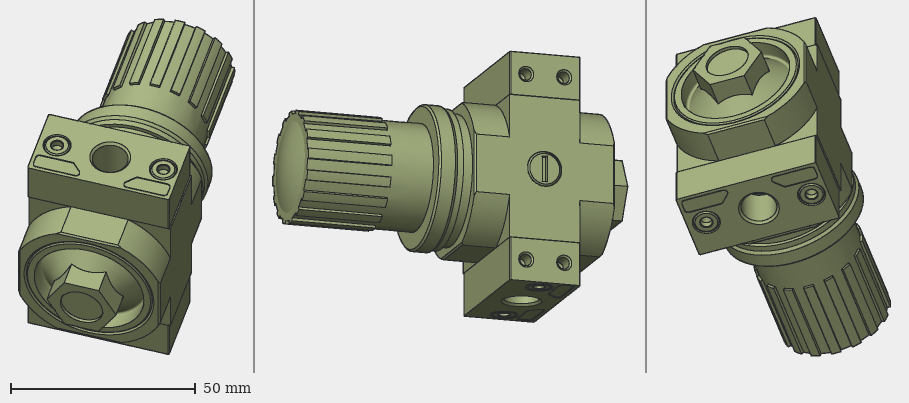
import cadquery as cq
import math


housing_width = 40.0
housing_lobe_diameter = 43.1
housing_end_chamfer = 0.5
block_depth = 20.0
port_bore_diameter = 8.8
half_width = housing_width / 2

neck_diameter = 36.4
neck_end_y = 22.9
flange_diameter = 38.7
flange_end_y = 24.6
collar_diameter = 40.0
collar_end_y = 30.0
collar_lower_chamfer_length = 0.9
collar_upper_chamfer = 0.6

knob_base_diameter = 29.6
knob_end_diameter = 29.3
knob_end_y = 65.8
knob_dome_diameter = 24.9
knob_dome_tip_y = 67.9
knob_rib_count = 16
knob_rib_diameter = 31.0
knob_rib_width = 2.8
knob_rib_start_y = 42.1

cap_diameter = 35.5
cap_rim_chamfer = 0.4
cap_depth = 7.6
cap_mouth_chamfer = 0.6
cap_cavity_diameter = 31.0
cap_groove_radius = 0.6
cap_cone_radius_at_rim = 9.9
hex_across_flats = 16.9
hex_end_y = -27.1
hex_recess_diameter = 12.0
hex_recess_depth = 0.95

plates_height = 64.0
plate_offset_x = -0.4
plate_edge_chamfer = 0.3
plate_port_diameter = 9.7
plate_port_mouth_diameter = 11.0
plate_top_z = plates_height / 2
plate_thickness = plate_top_z - half_width

side_hole_diameter = 3.2
side_hole_mouth_diameter = 4.3
side_hole_depth = 5.7
side_hole_y = 5.4

label_edge_inset = 1.0
label_inner_top_x = 8.9
label_inner_bottom_x = 4.9
label_top_y = -4.7
label_bottom_y = -8.9
label_corner_radius = 1.0
label_depth = 0.3

screw_x = 15.0
screw_head_diameter = 6.9
screw_head_height = 4.0
screw_head_chamfer = 0.4
screw_shank_diameter = 4.0
screw_thread_depth = 5.7
screw_socket_diameter = 3.2
screw_socket_mouth_diameter = 3.6
screw_socket_depth = 1.9
counterbore_diameter = 7.0
counterbore_mouth_chamfer = 0.3
clearance_hole_diameter = 4.3

plug_diameter = 9.7
plug_face_diameter = 8.55
plug_length = 5.7
slot_width = 1.4
slot_length = 7.1
slot_depth = 1.4

drill_tip_slope = math.tan(math.radians(30))
overcut = 0.95


def turned_about_y(outline):
    """Solid of revolution about Y from a list of (radius, y) points."""
    return cq.Workplane("XY").polyline(outline).close().revolve(360, (0, 0), (0, 1))


def drilled_hole(diameter, mouth_diameter, depth):
    """Cutter along -Z from the origin: 45 degree mouth, straight hole and conical tip."""
    radius = diameter / 2
    mouth_radius = mouth_diameter / 2
    outline = [
        (0, 0),
        (mouth_radius, 0),
        (radius, radius - mouth_radius),
        (radius, -depth),
        (0, -depth - radius * drill_tip_slope),
    ]
    return cq.Workplane("XZ").polyline(outline).close().revolve(360, (0, 0), (0, 1))


def make_collar():
    return turned_about_y([
        (0, half_width),
        (neck_diameter / 2, half_width),
        (neck_diameter / 2, neck_end_y),
        (flange_diameter / 2, neck_end_y),
        (flange_diameter / 2, flange_end_y),
        (collar_diameter / 2, flange_end_y + collar_lower_chamfer_length),
        (collar_diameter / 2, collar_end_y - collar_upper_chamfer),
        (collar_diameter / 2 - collar_upper_chamfer, collar_end_y),
        (0, collar_end_y),
    ])


def make_cap_bore():
    radius = cap_diameter / 2
    return turned_about_y([
        (0, -half_width),
        (radius + cap_mouth_chamfer, -half_width),
        (radius, -half_width + cap_mouth_chamfer),
        (radius, -half_width + cap_depth),
        (0, -half_width + cap_depth),
    ])


def make_housing():
    lobes = cq.Workplane("XY").box(housing_width, housing_width, housing_width)
    lobes = lobes.faces("<Y or >Y").chamfer(housing_end_chamfer)
    cylinder = (
        cq.Workplane("XZ").circle(housing_lobe_diameter / 2).extrude(half_width, both=True)
    )
    block = cq.Workplane("XY").box(housing_width, block_depth, housing_width)
    housing = lobes.intersect(cylinder).union(block).union(make_collar()).cut(make_cap_bore())

    port_bore = cq.Workplane("XY").circle(port_bore_diameter / 2).extrude(half_width, both=True)
    housing = housing.cut(port_bore).cut(make_plug_body())

    thread_end_z = half_width - screw_thread_depth
    for side in (1, -1):
        thread_holes = (
            cq.Workplane("XY", origin=(0, 0, side * thread_end_z))
            .pushPoints([(-screw_x, 0), (screw_x, 0)])
            .circle(screw_shank_diameter / 2)
            .extrude(side * (screw_thread_depth + overcut))
        )
        housing = housing.cut(thread_holes)
    return housing


def make_knob():
    knob = (
        cq.Workplane("XY")
        .moveTo(0, collar_end_y)
        .lineTo(knob_base_diameter / 2, collar_end_y)
        .lineTo(knob_end_diameter / 2, knob_end_y)
        .lineTo(knob_dome_diameter / 2, knob_end_y)
    )
    dome_height = knob_dome_tip_y - knob_end_y
    dome_radius = ((knob_dome_diameter / 2) ** 2 + dome_height**2) / (2 * dome_height)
    dome_mid_x = knob_dome_diameter / 4
    dome_mid_y = knob_dome_tip_y - dome_radius + math.sqrt(dome_radius**2 - dome_mid_x**2)
    knob = (
        knob.threePointArc((dome_mid_x, dome_mid_y), (0, knob_dome_tip_y))
        .close()
        .revolve(360, (0, 0), (0, 1))
    )

    rib_length = knob_end_y - knob_rib_start_y
    envelope = (
        cq.Workplane("XZ", origin=(0, knob_end_y, 0))
        .circle(knob_rib_diameter / 2)
        .extrude(rib_length)
    )
    rib_root_radius = knob_dome_diameter / 2
    rib_blank = cq.Workplane("XY").box(
        knob_rib_width, rib_length, knob_rib_diameter, centered=(True, False, False)
    )
    rib = rib_blank.translate((0, knob_rib_start_y, rib_root_radius)).intersect(envelope)
    for index in range(knob_rib_count):
        knob = knob.union(rib.rotate((0, 0, 0), (0, 1, 0), index * 360 / knob_rib_count))
    return knob


def make_cap():
    outer_radius = cap_diameter / 2
    cavity_radius = cap_cavity_diameter / 2
    diagonal = cap_groove_radius / math.sqrt(2)
    groove_x = cavity_radius - cap_groove_radius
    cone_foot_x = groove_x - diagonal
    cone_foot_y = -half_width - cap_cone_radius_at_rim + cone_foot_x
    groove_y = cone_foot_y - diagonal
    cone_end_radius = hex_recess_diameter / 2
    cone_end_y = -half_width - cap_cone_radius_at_rim + cone_end_radius
    groove_mid_angle = math.radians(135 / 2)
    groove_mid = (
        groove_x + cap_groove_radius * math.cos(groove_mid_angle),
        groove_y + cap_groove_radius * math.sin(groove_mid_angle),
    )
    body = (
        cq.Workplane("XY")
        .moveTo(0, -half_width + cap_depth)
        .lineTo(outer_radius, -half_width + cap_depth)
        .lineTo(outer_radius, -half_width + cap_rim_chamfer)
        .lineTo(outer_radius - cap_rim_chamfer, -half_width)
        .lineTo(cavity_radius, -half_width)
        .lineTo(cavity_radius, groove_y)
        .threePointArc(groove_mid, (cone_foot_x, cone_foot_y))
        .lineTo(cone_end_radius, cone_end_y)
        .lineTo(0, cone_end_y)
        .close()
        .revolve(360, (0, 0), (0, 1))
    )
    hex_corner_diameter = hex_across_flats / math.cos(math.radians(30))
    hexagon = (
        cq.Workplane("XZ", origin=(0, -half_width + cap_depth, 0))
        .polygon(6, hex_corner_diameter)
        .extrude(-half_width + cap_depth - hex_end_y)
    )
    recess = (
        cq.Workplane("XZ", origin=(0, hex_end_y + hex_recess_depth, 0))
        .circle(hex_recess_diameter / 2)
        .extrude(hex_recess_depth)
    )
    return body.union(hexagon).cut(recess)


def make_label_field(side):
    """Cutter for the label field at the -X (side -1) or +X (side 1) end of the upper plate."""
    outer_x = plate_offset_x + side * (half_width - label_edge_inset)
    return (
        cq.Workplane("XY", origin=(0, 0, plate_top_z))
        .polyline([
            (outer_x, label_top_y),
            (side * label_inner_top_x, label_top_y),
            (side * label_inner_bottom_x, label_bottom_y),
            (outer_x, label_bottom_y),
        ])
        .close()
        .extrude(-label_depth)
        .edges("|Z")
        .fillet(label_corner_radius)
    )


def make_upper_plate():
    plate = (
        cq.Workplane("XY", origin=(plate_offset_x, 0, half_width))
        .rect(housing_width, block_depth)
        .extrude(plate_thickness)
        .edges("|Z")
        .chamfer(plate_edge_chamfer)
    )
    port = drilled_hole(plate_port_diameter, plate_port_mouth_diameter, plate_thickness)
    plate = plate.cut(port.translate((0, 0, plate_top_z)))

    mouth_diameter = counterbore_diameter + 2 * counterbore_mouth_chamfer
    counterbore_mouth = cq.Workplane("XY").add(
        cq.Solid.makeCone(
            counterbore_diameter / 2,
            mouth_diameter / 2,
            counterbore_mouth_chamfer,
            cq.Vector(0, 0, plate_top_z - counterbore_mouth_chamfer),
        )
    )
    screw_hole = (
        cq.Workplane("XY", origin=(0, 0, plate_top_z))
        .circle(counterbore_diameter / 2)
        .extrude(-screw_head_height)
        .faces("<Z")
        .workplane()
        .circle(clearance_hole_diameter / 2)
        .extrude(plate_thickness)
        .union(counterbore_mouth)
    )
    for x in (-screw_x, screw_x):
        plate = plate.cut(screw_hole.translate((x, 0, 0)))

    side_x = plate_offset_x - half_width
    side_z = half_width + plate_thickness / 2
    side_hole = drilled_hole(side_hole_diameter, side_hole_mouth_diameter, side_hole_depth)
    side_hole = side_hole.rotate((0, 0, 0), (0, 1, 0), -90)
    for y in (-side_hole_y, side_hole_y):
        plate = plate.cut(side_hole.translate((side_x, y, side_z)))
    for side in (-1, 1):
        plate = plate.cut(make_label_field(side))
    return plate


def make_upper_screw(x):
    head_bottom_z = plate_top_z - screw_head_height
    head = (
        cq.Workplane("XY", origin=(x, 0, head_bottom_z))
        .circle(screw_head_diameter / 2)
        .extrude(screw_head_height)
        .faces(">Z")
        .chamfer(screw_head_chamfer)
    )
    shank_end_z = half_width - screw_thread_depth
    shank = (
        cq.Workplane("XY", origin=(x, 0, shank_end_z))
        .circle(screw_shank_diameter / 2)
        .extrude(head_bottom_z - shank_end_z)
    )
    socket = drilled_hole(screw_socket_diameter, screw_socket_mouth_diameter, screw_socket_depth)
    return head.union(shank).cut(socket.translate((x, 0, plate_top_z)))


def make_plug_body():
    """Plug without its slot, which is also the shape of its seat in the housing."""
    return (
        cq.Workplane("YZ", origin=(-half_width, 0, 0)).circle(plug_diameter / 2).extrude(plug_length)
    )


def make_plug():
    plug = make_plug_body().faces("<X").chamfer((plug_diameter - plug_face_diameter) / 2)
    slot = (
        cq.Workplane("YZ", origin=(-half_width, 0, 0))
        .rect(slot_width, slot_length)
        .extrude(slot_depth)
    )
    return plug.cut(slot)


housing = make_housing()
knob = make_knob()
cap = make_cap()
plug = make_plug()

upper_plate = make_upper_plate()
plates = [upper_plate, upper_plate.mirror("XY")]

screws = []
for position_x in (-screw_x, screw_x):
    upper_screw = make_upper_screw(position_x)
    screws.extend([upper_screw, upper_screw.mirror("XY")])

bodies = [housing, knob, cap, plug, *plates, *screws]
result = cq.Compound.makeCompound([body.solids().val() for body in bodies])